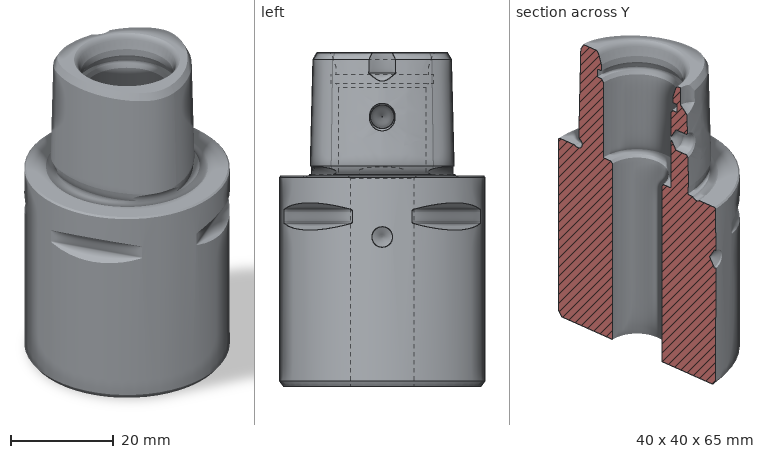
import math

import cadquery as cq

BODY_RADIUS = 20.0
BODY_HEIGHT = 41.0
BODY_TOP_CHAMFER = 0.3
BASE_CHAMFER_HEIGHT = 1.1
BASE_CHAMFER_INSET = 0.8

TOTAL_HEIGHT = 65.0
SHANK_RADIUS = 14.0
LOBE_HEIGHT = 0.9
LOBE_COUNT = 3
LOBE_HALF_ANGLE = math.radians(27.0)
CURVE_SPANS = 8
SHANK_TAPER = 1 / 40
SHANK_BOTTOM = 42.9
SHANK_CHAMFER_HEIGHT = 1.4
SHANK_CHAMFER_INSET = 0.8

NECK_INSET = 0.2
NECK_LOBE_RADIUS = 14.2
NECK_CONE_BOTTOM = 42.3
COLLAR_HEIGHT = 0.25
RING_GROOVE_CENTER_RADIUS = 15.05
RING_GROOVE_CENTER_Z = 41.75
RING_GROOVE_RADIUS = 1.05

THROUGH_RADIUS = 12.38 / 2
THROUGH_CHAMFER = 0.5
BORE_RADIUS = 8.5
BORE_FLOOR = BODY_HEIGHT
LAND_RADIUS = 18.0 / 2
SEAT_Z = 59.0
SEAT_CHAMFER_HEIGHT = 0.8
GROOVE_RADIUS = 20.0 / 2
GROOVE_TOP = 60.7
ENTRY_CONE_BOTTOM = 62.1
ENTRY_RADIUS = 9.6
RIM_RADIUS = 10.3
RIM_DEPTH = 1.0

POCKET_COUNT = 4
POCKET_START_ANGLE = 45.0
POCKET_Z = 33.1
POCKET_FLOOR_DISTANCE = 17.65
POCKET_FLOOR_HEIGHT = 2.6
POCKET_WALL_ANGLE = 30.0
POCKET_FILLET = 0.35

SHANK_HOLE_DIAMETER = 4.6
SHANK_HOLE_RIM_DIAMETER = 5.35
SHANK_HOLE_Z = 52.5
SHANK_HOLE_DEPTH = 3.0
BODY_HOLE_DIAMETER = 4.0
BODY_HOLE_Z = 29.1
BODY_HOLE_DEPTH = 0.4
DRILL_TIP_ANGLE = 118.0
CUT_MARGIN = 1.0
KEYWAY_RADIUS = 3.2
KEYWAY_INNER_X = -11.1
KEYWAY_DEPTH = 4.0


def lobed_outline(z, inset):
    """Closed wire of the lobed polygon at height z, moved inwards by inset."""

    def point(angle):
        reach = SHANK_RADIUS - inset + LOBE_HEIGHT * math.cos(LOBE_COUNT * angle)
        slope = -LOBE_COUNT * LOBE_HEIGHT * math.sin(LOBE_COUNT * angle)
        x = reach * math.cos(angle) - slope * math.sin(angle)
        y = reach * math.sin(angle) + slope * math.cos(angle)
        return cq.Vector(x, y, z)

    def curve(start, end):
        angles = [start + (end - start) * step / CURVE_SPANS for step in range(CURVE_SPANS + 1)]
        tangents = [cq.Vector(-math.sin(angle), math.cos(angle), 0) for angle in (start, end)]
        return cq.Edge.makeSpline([point(angle) for angle in angles], tangents=tangents)

    pitch = 2 * math.pi / LOBE_COUNT
    edges = []
    for index in range(LOBE_COUNT):
        lobe_start = index * pitch - LOBE_HALF_ANGLE
        lobe_end = index * pitch + LOBE_HALF_ANGLE
        edges.append(curve(lobe_start, lobe_end))
        edges.append(curve(lobe_end, lobe_start + pitch))
    return cq.Wire.assembleEdges(edges)


def lobed_solid(bottom_z, bottom_inset, top_z, top_inset):
    wires = [lobed_outline(bottom_z, bottom_inset), lobed_outline(top_z, top_inset)]
    return cq.Workplane(cq.Solid.makeLoft(wires, True))


def revolved(profile):
    """Revolve a closed profile of the XZ plane about Z."""
    return profile.close().revolve(360, (0, 0, 0), (0, 1, 0))


def make_body():
    body = revolved(
        cq.Workplane("XZ")
        .lineTo(BODY_RADIUS - BASE_CHAMFER_INSET, 0)
        .lineTo(BODY_RADIUS, BASE_CHAMFER_HEIGHT)
        .lineTo(BODY_RADIUS, BODY_HEIGHT)
        .lineTo(0, BODY_HEIGHT)
    )
    return body.faces(">Z").edges().chamfer(BODY_TOP_CHAMFER)


def make_collar():
    """Low disc under the neck; the ring groove gives it its final edge."""
    return cq.Workplane(origin=(0, 0, BODY_HEIGHT)).circle(RING_GROOVE_CENTER_RADIUS).extrude(COLLAR_HEIGHT)


def make_ring_groove():
    """Ring cutter that hollows the body's top face and rounds off the neck's lobes."""
    groove_section = cq.Workplane("XZ").moveTo(RING_GROOVE_CENTER_RADIUS, RING_GROOVE_CENTER_Z)
    return groove_section.circle(RING_GROOVE_RADIUS).revolve(360, (0, 0, 0), (0, 1, 0))


def make_neck():
    neck = lobed_solid(BODY_HEIGHT, NECK_INSET, SHANK_BOTTOM, NECK_INSET)
    trim = revolved(
        cq.Workplane("XZ")
        .moveTo(0, BODY_HEIGHT)
        .lineTo(NECK_LOBE_RADIUS, BODY_HEIGHT)
        .lineTo(NECK_LOBE_RADIUS, NECK_CONE_BOTTOM)
        .lineTo(SHANK_RADIUS + LOBE_HEIGHT, SHANK_BOTTOM)
        .lineTo(0, SHANK_BOTTOM)
    )
    return neck.intersect(trim)


def make_shank():
    chamfer_z = TOTAL_HEIGHT - SHANK_CHAMFER_HEIGHT
    taper_inset = (chamfer_z - SHANK_BOTTOM) * SHANK_TAPER
    taper = lobed_solid(SHANK_BOTTOM, 0, chamfer_z, taper_inset)
    return taper.union(lobed_solid(chamfer_z, taper_inset, TOTAL_HEIGHT, taper_inset + SHANK_CHAMFER_INSET))


def make_bore():
    rim_bottom = TOTAL_HEIGHT - RIM_DEPTH
    return revolved(
        cq.Workplane("XZ")
        .lineTo(THROUGH_RADIUS, 0)
        .lineTo(THROUGH_RADIUS, BORE_FLOOR - THROUGH_CHAMFER)
        .lineTo(THROUGH_RADIUS + THROUGH_CHAMFER, BORE_FLOOR)
        .lineTo(BORE_RADIUS, BORE_FLOOR)
        .lineTo(BORE_RADIUS, SEAT_Z - SEAT_CHAMFER_HEIGHT)
        .lineTo(LAND_RADIUS, SEAT_Z)
        .lineTo(GROOVE_RADIUS, SEAT_Z)
        .lineTo(GROOVE_RADIUS, GROOVE_TOP)
        .lineTo(LAND_RADIUS, GROOVE_TOP)
        .lineTo(LAND_RADIUS, ENTRY_CONE_BOTTOM)
        .lineTo(ENTRY_RADIUS, rim_bottom)
        .tangentArcPoint((RIM_RADIUS, TOTAL_HEIGHT), relative=False)
        .lineTo(0, TOTAL_HEIGHT)
    )


def make_pocket():
    """Cutter for the pocket on the +X side."""
    depth = BODY_RADIUS - POCKET_FLOOR_DISTANCE
    mouth_height = POCKET_FLOOR_HEIGHT + 2 * depth * math.tan(math.radians(POCKET_WALL_ANGLE))
    profile = [
        (POCKET_FLOOR_DISTANCE, -POCKET_FLOOR_HEIGHT / 2),
        (BODY_RADIUS, -mouth_height / 2),
        (BODY_RADIUS, mouth_height / 2),
        (POCKET_FLOOR_DISTANCE, POCKET_FLOOR_HEIGHT / 2),
    ]
    outline = cq.Workplane("XZ", origin=(0, 0, POCKET_Z)).polyline(profile).close()
    pocket = outline.extrude(BODY_RADIUS, both=True)
    return pocket.faces("<X").edges("|Y").fillet(POCKET_FILLET)


def drill_tip_height(radius):
    return radius / math.tan(math.radians(DRILL_TIP_ANGLE / 2))


def make_side_hole(surface_x, z, diameter, depth):
    """Cutter for a blind drilled hole entering along +X from the surface, with a conical end."""
    radius = diameter / 2
    profile = (
        cq.Workplane("XY", origin=(surface_x, 0, z))
        .moveTo(-CUT_MARGIN, 0)
        .lineTo(-CUT_MARGIN, radius)
        .lineTo(depth, radius)
        .lineTo(depth + drill_tip_height(radius), 0)
        .close()
    )
    return profile.revolve(360, (0, 0, 0), (1, 0, 0))


def make_hole_rim(surface_x, z, diameter, rim_diameter):
    """Cutter for the 45-degree countersink at the mouth of a side hole."""
    radius = diameter / 2
    rim_radius = rim_diameter / 2
    cone_length = rim_radius - radius + CUT_MARGIN
    cone = cq.Solid.makeCone(
        rim_radius + CUT_MARGIN,
        radius,
        cone_length,
        cq.Vector(surface_x - CUT_MARGIN, 0, z),
        cq.Vector(1, 0, 0),
    )
    return cq.Workplane(cone)


def make_keyway():
    """Cutter for the upright round groove in the shank's flat, with a conical lower end."""
    straight_bottom = TOTAL_HEIGHT - KEYWAY_DEPTH
    return revolved(
        cq.Workplane("XZ", origin=(KEYWAY_INNER_X - KEYWAY_RADIUS, 0, straight_bottom))
        .moveTo(0, -KEYWAY_RADIUS)
        .lineTo(KEYWAY_RADIUS, 0)
        .lineTo(KEYWAY_RADIUS, KEYWAY_DEPTH)
        .lineTo(0, KEYWAY_DEPTH)
    )


result = make_body().union(make_collar()).union(make_neck()).cut(make_ring_groove())
result = result.union(make_shank()).cut(make_bore())

pocket = make_pocket()
for index in range(POCKET_COUNT):
    angle = POCKET_START_ANGLE + index * 360 / POCKET_COUNT
    result = result.cut(pocket.rotate((0, 0, 0), (0, 0, 1), angle))

flat_x = LOBE_HEIGHT - SHANK_RADIUS + (SHANK_HOLE_Z - SHANK_BOTTOM) * SHANK_TAPER
result = result.cut(make_side_hole(flat_x, SHANK_HOLE_Z, SHANK_HOLE_DIAMETER, SHANK_HOLE_DEPTH))
result = result.cut(make_hole_rim(flat_x, SHANK_HOLE_Z, SHANK_HOLE_DIAMETER, SHANK_HOLE_RIM_DIAMETER))
result = result.cut(make_side_hole(-BODY_RADIUS, BODY_HOLE_Z, BODY_HOLE_DIAMETER, BODY_HOLE_DEPTH))
result = result.cut(make_keyway())